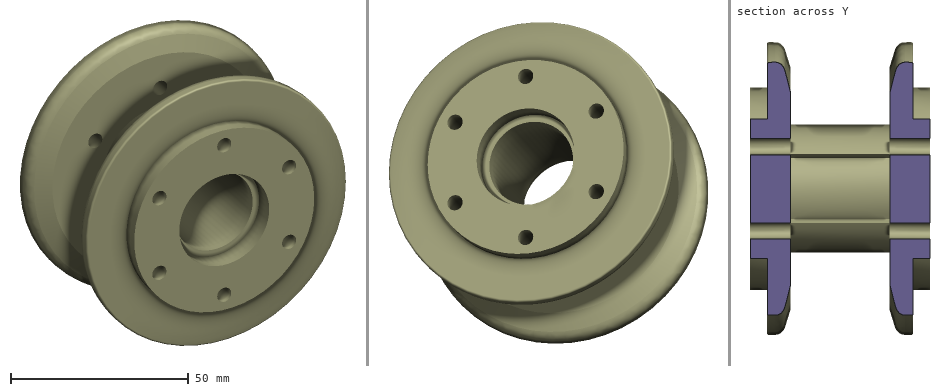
import cadquery as cq
import math

overall_length = 50.8
end_x = overall_length / 2
flange_outer_x = 20.6
flange_inner_x = 13.95
rim_corner_x = 16.2

flange_radius = 41.3
taper_start_radius = 34.2
boss_radius = 28.6
tube_radius = 18.1
bore_radius = 12.2

rim_inner_fillet = 3.0
rim_outer_fillet = 0.6
rim_edge_margin = 0.8

counterbore_radius = 14.3
counterbore_depth = 6.2

bolt_count = 6
bolt_circle_radius = 23.8
bolt_hole_radius = 2.2

recess_floor_radius = 16.1
recess_half_angle = 32.5


def cylinder(radius, x_start, x_end):
    """Solid cylinder about the X axis."""
    return cq.Workplane("YZ", origin=(x_start, 0, 0)).circle(radius).extrude(x_end - x_start)


def make_flange():
    """Flange on the +X side: tapered inner face, rounded rim and outer boss."""
    outline = [
        (flange_inner_x, 0),
        (flange_inner_x, taper_start_radius),
        (rim_corner_x, flange_radius),
        (flange_outer_x, flange_radius),
        (flange_outer_x, 0),
    ]
    disc = cq.Workplane("XY").polyline(outline).close().revolve(360, (0, 0, 0), (1, 0, 0))
    disc = disc.faces(">X").edges().fillet(rim_outer_fillet)
    rim_corner = cq.selectors.BoxSelector(
        (rim_corner_x - rim_edge_margin, -flange_radius - rim_edge_margin, -flange_radius - rim_edge_margin),
        (rim_corner_x + rim_edge_margin, flange_radius + rim_edge_margin, flange_radius + rim_edge_margin),
        boundingbox=True,
    )
    disc = disc.edges(rim_corner).fillet(rim_inner_fillet)
    return disc.union(cylinder(boss_radius, flange_outer_x, end_x))


def make_tube():
    """Tube between the flanges, with a concentric recess bounded by radial walls."""
    tube = cylinder(tube_radius, -flange_inner_x, flange_inner_x)
    reach = 2 * tube_radius
    half_width = reach * math.tan(math.radians(recess_half_angle))
    sector = (
        cq.Workplane("YZ", origin=(-flange_inner_x, 0, 0))
        .polyline([(0, 0), (reach, -half_width), (reach, half_width)])
        .close()
        .extrude(2 * flange_inner_x)
    )
    floor = cylinder(recess_floor_radius, -flange_inner_x, flange_inner_x)
    return tube.cut(sector.cut(floor))


def make_bolt_holes():
    """Ring of axial holes passing through both flanges."""
    return (
        cq.Workplane("YZ", origin=(-end_x, 0, 0))
        .polarArray(bolt_circle_radius, 90, 360, bolt_count)
        .circle(bolt_hole_radius)
        .extrude(overall_length)
    )


flange = make_flange()
spool = make_tube().union(flange).union(flange.mirror("YZ"))

spool = spool.cut(cylinder(bore_radius, -end_x, end_x))
spool = spool.cut(cylinder(counterbore_radius, -end_x, -end_x + counterbore_depth))
spool = spool.cut(cylinder(counterbore_radius, end_x - counterbore_depth, end_x))
result = spool.cut(make_bolt_holes())